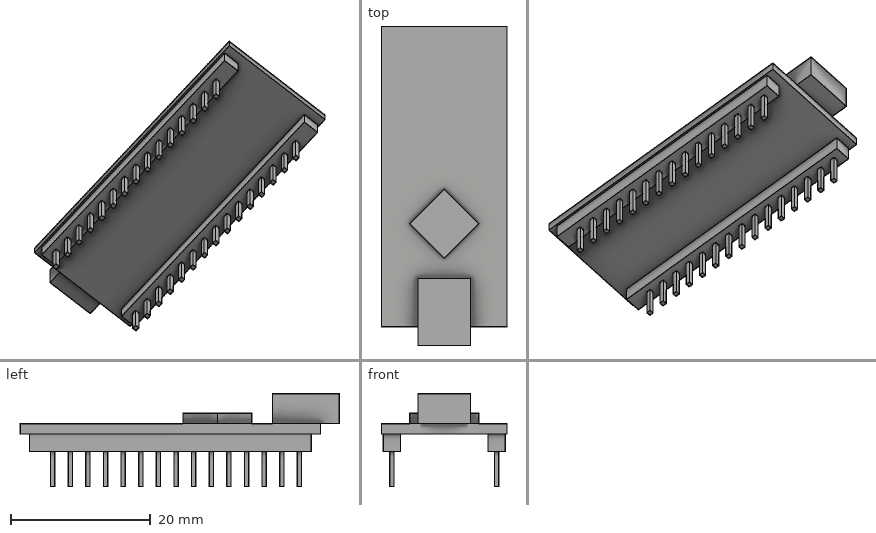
import cadquery as cq

OVERALL_LENGTH = 45.7
OVERALL_HEIGHT = 13.3

BOARD_WIDTH = 18.0
BOARD_LENGTH = 43.0
BOARD_THICKNESS = 1.5

HEADER_WIDTH = 2.5
HEADER_HEIGHT = 2.5
HEADER_LENGTH = 40.35
HEADER_SPACING = 15.0

PIN_COUNT = 15
PIN_SIDE = 0.65
PIN_LENGTH = 5.0
PIN_ROW_SPAN = 35.33
PIN_FRONT_INSET = 1.7

CHIP_SIDE = 7.0
CHIP_HEIGHT = 1.5
CHIP_FRONT_DISTANCE = 14.75
CHIP_ANGLE = 45

CONNECTOR_WIDTH = 7.6
CONNECTOR_LENGTH = 9.6

header_bottom = PIN_LENGTH
board_bottom = header_bottom + HEADER_HEIGHT
board_top = board_bottom + BOARD_THICKNESS
connector_height = OVERALL_HEIGHT - board_top
connector_overhang = OVERALL_LENGTH - BOARD_LENGTH
board_front = -BOARD_LENGTH / 2
connector_y = board_front - connector_overhang + CONNECTOR_LENGTH / 2
first_pin_y = -HEADER_LENGTH / 2 + PIN_FRONT_INSET
pin_pitch = PIN_ROW_SPAN / (PIN_COUNT - 1)


def block(width, length, height, x, y, bottom):
    """Box centred on (x, y) that rises from the given level."""
    base = cq.Workplane("XY", origin=(x, y, bottom))
    return base.box(width, length, height, centered=(True, True, False))


def header(x):
    """Header strip at the given X with its row of pins."""
    strip = block(HEADER_WIDTH, HEADER_LENGTH, HEADER_HEIGHT, x, 0, header_bottom)
    pin_places = [(x, first_pin_y + i * pin_pitch) for i in range(PIN_COUNT)]
    pins = (
        cq.Workplane("XY")
        .pushPoints(pin_places)
        .rect(PIN_SIDE, PIN_SIDE)
        .extrude(PIN_LENGTH)
    )
    return strip.union(pins)


def chip():
    """Flat square chip on the board's centre line."""
    chip_y = board_front + CHIP_FRONT_DISTANCE
    square = block(CHIP_SIDE, CHIP_SIDE, CHIP_HEIGHT, 0, chip_y, board_top)
    return square.rotate((0, chip_y, 0), (0, chip_y, 1), CHIP_ANGLE)


board = block(BOARD_WIDTH, BOARD_LENGTH, BOARD_THICKNESS, 0, 0, board_bottom)
connector = block(CONNECTOR_WIDTH, CONNECTOR_LENGTH, connector_height, 0, connector_y, board_top)

result = board.union(connector).union(chip())
for side in (-1, 1):
    result = result.union(header(side * HEADER_SPACING / 2))